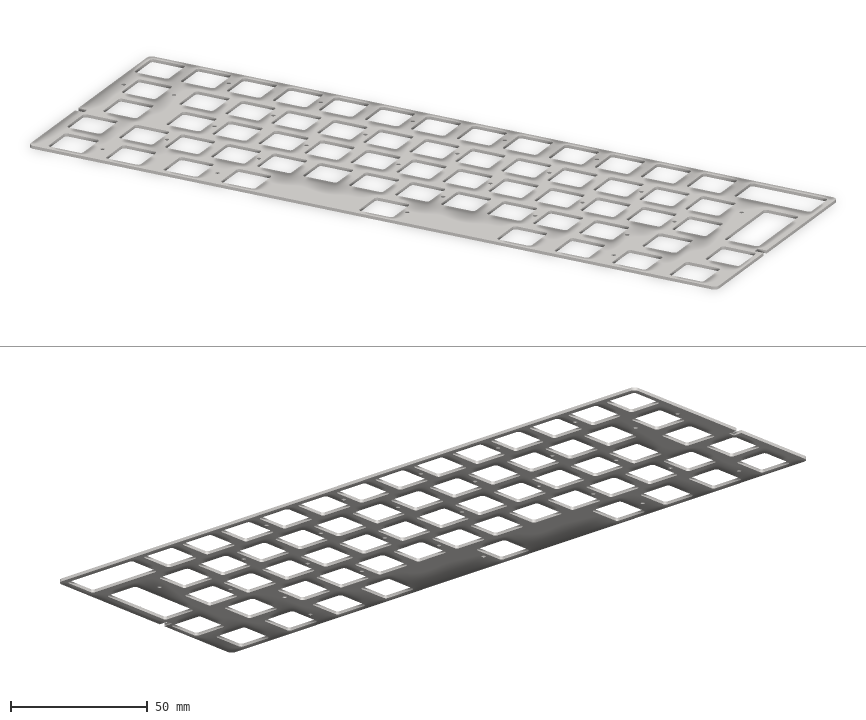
import cadquery as cq

plate_length = 285.0
plate_width = 94.5
plate_thickness = 1.2
plate_corner_radius = 2.0

units_across = 15
row_count = 5
edge_trim = 0.37
key_pitch = (plate_length + 2 * edge_trim) / units_across

switch_length = 14.2
switch_width = 14.0
long_opening_length = 32.0
opening_corner_radius = 1.0
hole_diameter = 1.62

notch_depth = 3.7
notch_width = 2.5
notch_y = -key_pitch / 2


def grid_x(units):
    """X of a place given in key units from the left end of the key grid."""
    return (units - units_across / 2) * key_pitch


def row_y(row):
    """Y of the middle of a row, the back row being row 0."""
    return ((row_count - 1) / 2 - row) * key_pitch


def one_unit_run(first, count):
    """Places of neighbouring keys spaced one key unit apart."""
    return [first + step for step in range(count)]


def row_points(places_by_row):
    """Plate points for lists of places, one list for each row."""
    return [
        (grid_x(units), row_y(row))
        for row, places in enumerate(places_by_row)
        for units in places
    ]


def opening_cutter(points, length, width):
    """Rounded rectangular prisms, one at each point, as tall as the plate."""
    return (
        cq.Workplane("XY")
        .pushPoints(points)
        .rect(length, width)
        .extrude(plate_thickness)
        .edges("|Z")
        .fillet(opening_corner_radius)
    )


switch_rows = [
    one_unit_run(0.5, 13),
    [0.75] + one_unit_run(2, 12),
    [0.875] + one_unit_run(2.25, 12),
    [0.625] + one_unit_run(1.75, 11) + [13.125, 14.5],
    [0.75, 2, 3.25, 4.5, 7.5, 10.5, 11.75, 13, 14.25],
]

hole_rows = [
    [2, 4, 6, 8, 10],
    [0.25, 1.34, 3.5, 5.5, 7.5, 9.5, 11.5, 13.68],
    [2.75, 4.75, 6.75, 8.75, 10.75, 12.75],
    [2.25, 4.25, 8.25, 10.25, 12.25],
    [1.375, 3.875, 8, 12.49],
]

backspace_point = (grid_x(14), row_y(0))
enter_point = (grid_x(14.375), (row_y(1) + row_y(2)) / 2)

plate = (
    cq.Workplane("XY")
    .rect(plate_length, plate_width)
    .extrude(plate_thickness)
    .edges("|Z")
    .fillet(plate_corner_radius)
)

notches = (
    cq.Workplane("XY")
    .pushPoints([(side * plate_length / 2, notch_y) for side in (-1, 1)])
    .rect(2 * notch_depth, notch_width)
    .extrude(plate_thickness)
)

holes = (
    cq.Workplane("XY")
    .pushPoints(row_points(hole_rows))
    .circle(hole_diameter / 2)
    .extrude(plate_thickness)
)

result = (
    plate.cut(opening_cutter(row_points(switch_rows), switch_length, switch_width))
    .cut(opening_cutter([backspace_point], long_opening_length, switch_width))
    .cut(opening_cutter([enter_point], switch_length, long_opening_length))
    .cut(notches)
    .cut(holes)
)